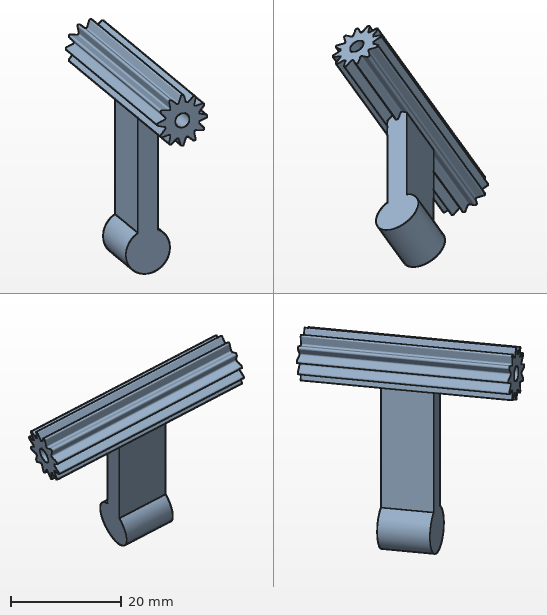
import cadquery as cq
import math

roller_length = 40.0
tooth_count = 12
tip_radius = 5.0
root_radius = 3.5
bore_diameter = 2.8
tip_land_radius = 4.82
tip_half_width = 0.3
valley_floor_radius = 3.55
valley_half_width = 0.2

arm_width = 10.0
arm_thickness = 4.0
weight_diameter = 8.8
overall_height = 40.55
weight_z = tip_radius - overall_height + weight_diameter / 2
arm_top_z = -(bore_diameter / 2 + root_radius) / 2

tooth_pitch = 2 * math.pi / tooth_count


def profile_point(angle, radial, sideways=0.0):
    """Point at a radial distance along an angle, shifted square to it."""
    return (
        radial * math.cos(angle) - sideways * math.sin(angle),
        radial * math.sin(angle) + sideways * math.cos(angle),
    )


def make_roller():
    outline = cq.Workplane("YZ").workplane(offset=-roller_length / 2)
    outline = outline.moveTo(*profile_point(0, tip_land_radius, -tip_half_width))
    for tooth in range(tooth_count):
        tip_angle = tooth * tooth_pitch
        valley_angle = tip_angle + tooth_pitch / 2
        next_tip_angle = tip_angle + tooth_pitch
        outline = outline.threePointArc(
            profile_point(tip_angle, tip_radius),
            profile_point(tip_angle, tip_land_radius, tip_half_width),
        )
        outline = outline.lineTo(*profile_point(valley_angle, valley_floor_radius, -valley_half_width))
        outline = outline.threePointArc(
            profile_point(valley_angle, root_radius),
            profile_point(valley_angle, valley_floor_radius, valley_half_width),
        )
        if tooth < tooth_count - 1:
            outline = outline.lineTo(*profile_point(next_tip_angle, tip_land_radius, -tip_half_width))
    return outline.close().extrude(roller_length)


def make_bore():
    roller_end = cq.Workplane("YZ").workplane(offset=-roller_length / 2)
    return roller_end.circle(bore_diameter / 2).extrude(roller_length)


def make_weighted_arm():
    half_thickness = arm_thickness / 2
    weight_radius = weight_diameter / 2
    neck_z = weight_z + math.sqrt(weight_radius**2 - half_thickness**2)
    return (
        cq.Workplane("YZ")
        .workplane(offset=-arm_width / 2)
        .moveTo(-half_thickness, arm_top_z)
        .lineTo(-half_thickness, neck_z)
        .threePointArc((0, weight_z - weight_radius), (half_thickness, neck_z))
        .lineTo(half_thickness, arm_top_z)
        .close()
        .extrude(arm_width)
    )


result = make_roller().cut(make_bore()).union(make_weighted_arm())